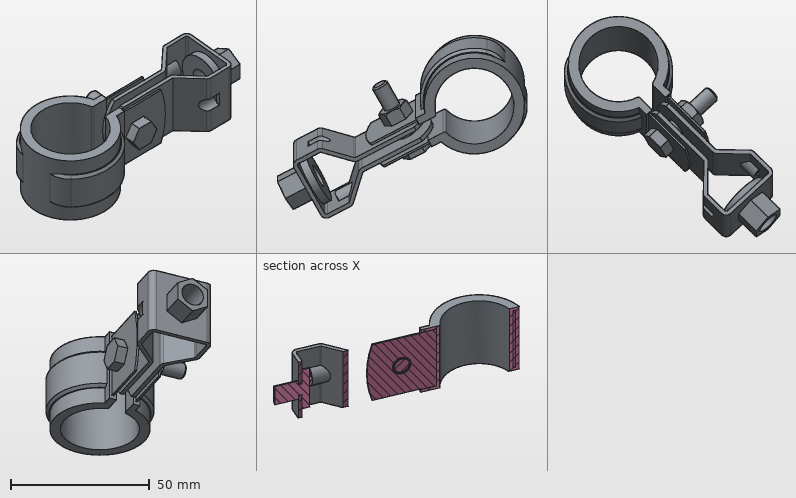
import cadquery as cq
import math


RING_HEIGHT = 28.0
RING_OUTER_R = 18.1
RING_BORE_R = 14.25
LIP_INNER_X = 3.3
LIP_OUTER_X = 6.1
LIP_TOP_Y = 20.85
LIP_FILLET_R = 1.0

BAND_R = 19.5
BAND_HEIGHT = 15.2
BAND_CHAMFER = 1.05
BAND_ARC_END_X = 14.4
BAND_TAIL_X = 6.7
BAND_TAIL_DEPTH = 0.2

STRAP_THICKNESS = 0.8
STRAP_WIDTH = 25.1
STRAP_EAR_Y = 41.8
STRAP_EAR_SAG = 2.1

SHEET = 1.5
BEND_INNER_R = 0.8
BEND_OUTER_R = BEND_INNER_R + SHEET
BRACKET_WIDTH = STRAP_WIDTH
BACK_Y = 68.5
HEAD_HALF_WIDTH = 12.3
LEG_OUTER_X = 3.1
SHOULDER_Y = 56.6
SLOPE_ANGLE = math.radians(45)
LEG_TIP_Y = 18.6
LEG_TIP_SAG = 4.5
DENT_OUTER_D = 8.5
DENT_START_Y = 61.6

FLANGE_D = 20.0
FLANGE_THICKNESS = 3.0
BOSS_FLATS = 12.0
BOSS_LENGTH = 9.1
NECK_D = 10.5
BOSS_BORE_D = 8.5

BOLT_Y = 28.2
BOLT_D = 6.0
BOLT_TIP_D = 4.9
BOLT_LENGTH = 25.0
HEX_FLATS = 10.0
HEAD_HEIGHT = 4.0
NUT_HEIGHT = 5.1
NUT_CHAMFER_D = 9.9
NUT_CHAMFER_ANGLE = 30
CLEARANCE_D = 7.0

RING_MID_R = (RING_OUTER_R + RING_BORE_R) / 2
WAIST_Y = SHOULDER_Y - (HEAD_HALF_WIDTH - LEG_OUTER_X) / math.tan(SLOPE_ANGLE)
EAR_MID_X = (LIP_INNER_X + LIP_OUTER_X) / 2
EAR_INNER_X = EAR_MID_X - STRAP_THICKNESS / 2
EAR_OUTER_X = EAR_MID_X + STRAP_THICKNESS / 2


def level_plane(height):
    """The XY plane at the underside of a shape that is centred on Z = 0."""
    return cq.Workplane("XY", origin=(0, 0, -height / 2))


def box(x0, x1, y0, y1, height):
    """A block between two X and two Y positions, centred on Z = 0."""
    return (
        level_plane(height)
        .center((x0 + x1) / 2, (y0 + y1) / 2)
        .rect(x1 - x0, y1 - y0)
        .extrude(height)
    )


def x_cylinder(diameter, x0, x1):
    """A cylinder along X on the bolt axis."""
    return cq.Workplane("YZ", origin=(x0, BOLT_Y, 0)).circle(diameter / 2).extrude(x1 - x0)


def x_hexagon(x0, x1):
    """A hexagon along X on the bolt axis, with corners at +Y and -Y."""
    corners_d = HEX_FLATS / math.cos(math.pi / 6)
    return cq.Workplane("YZ", origin=(x0, BOLT_Y, 0)).polygon(6, corners_d).extrude(x1 - x0)


def round_ended_blank(square_y, tip_y, sag, width, half_length):
    """A block along X, square at one Y end and with a bowed edge at the other."""
    corner_y = tip_y + math.copysign(sag, square_y - tip_y)
    return (
        cq.Workplane("YZ")
        .moveTo(square_y, -width / 2)
        .lineTo(corner_y, -width / 2)
        .threePointArc((tip_y, 0), (corner_y, width / 2))
        .lineTo(square_y, width / 2)
        .close()
        .extrude(half_length, both=True)
    )


def make_strap():
    """A loop at the middle of the ring wall, with an ear rising from each end."""
    loop_outer_r = RING_MID_R + STRAP_THICKNESS / 2
    loop_inner_r = RING_MID_R - STRAP_THICKNESS / 2
    strap = (
        level_plane(STRAP_WIDTH)
        .circle(loop_outer_r)
        .circle(loop_inner_r)
        .extrude(STRAP_WIDTH)
        .cut(box(-EAR_INNER_X, EAR_INNER_X, 0, BAND_R, STRAP_WIDTH))
    )
    ear_root_y = math.sqrt(loop_inner_r**2 - EAR_OUTER_X**2)
    for x0, x1 in ((-EAR_OUTER_X, -EAR_INNER_X), (EAR_INNER_X, EAR_OUTER_X)):
        strap = strap.union(box(x0, x1, ear_root_y, STRAP_EAR_Y, STRAP_WIDTH))
    outline = round_ended_blank(-BAND_R, STRAP_EAR_Y, STRAP_EAR_SAG, STRAP_WIDTH, BAND_R)
    holes = x_cylinder(CLEARANCE_D, -LIP_OUTER_X, LIP_OUTER_X)
    return strap.intersect(outline).cut(holes)


def make_half_band():
    """The +X half of the raised band, closed by a tangent arc down to the ring."""
    arc_end_y = -math.sqrt(BAND_R**2 - BAND_ARC_END_X**2)
    tail_y = -math.sqrt((RING_OUTER_R - BAND_TAIL_DEPTH) ** 2 - BAND_TAIL_X**2)
    diagonal = BAND_R * math.sqrt(0.5)
    return (
        level_plane(BAND_HEIGHT)
        .moveTo(0, BAND_R)
        .threePointArc((diagonal, diagonal), (BAND_ARC_END_X, arc_end_y))
        .tangentArcPoint((BAND_TAIL_X, tail_y), relative=False)
        .lineTo(0, 0)
        .close()
        .extrude(BAND_HEIGHT)
        .faces("|Z")
        .chamfer(BAND_CHAMFER)
    )


def make_ring(strap):
    """The split rubber ring, moulded around the strap."""
    ring = level_plane(RING_HEIGHT).circle(RING_OUTER_R).extrude(RING_HEIGHT)
    half_band = make_half_band()
    ring = ring.union(half_band).union(half_band.mirror("YZ"))
    ring = ring.union(box(-LIP_OUTER_X, LIP_OUTER_X, 0, LIP_TOP_Y, RING_HEIGHT))
    ring = ring.cut(level_plane(RING_HEIGHT).circle(RING_BORE_R).extrude(RING_HEIGHT))
    ring = ring.cut(box(-LIP_INNER_X, LIP_INNER_X, 0, LIP_TOP_Y, RING_HEIGHT))
    bore_edge_y = math.sqrt(RING_BORE_R**2 - LIP_INNER_X**2)
    bore_edges = cq.selectors.BoxSelector(
        (-LIP_OUTER_X, bore_edge_y - LIP_FILLET_R, -RING_HEIGHT),
        (LIP_OUTER_X, bore_edge_y + LIP_FILLET_R, RING_HEIGHT),
    )
    ring = ring.edges(bore_edges).fillet(LIP_FILLET_R)
    return ring.cut(strap)


def bracket_outline(inset, shoulder_r, waist_r):
    """The bracket shape without its hollow, moved inward by `inset`, with rounded bends."""
    head_x = HEAD_HALF_WIDTH - inset
    leg_x = LEG_OUTER_X - inset
    corner_shift = inset * math.tan(SLOPE_ANGLE / 2)
    shoulder_y = SHOULDER_Y + corner_shift
    waist_y = WAIST_Y + corner_shift
    back_y = BACK_Y - inset
    half = [(leg_x, LEG_TIP_Y), (leg_x, waist_y), (head_x, shoulder_y), (head_x, back_y)]
    mirrored = [(-x, y) for x, y in reversed(half)]
    block = level_plane(BRACKET_WIDTH).polyline(half + mirrored).close().extrude(BRACKET_WIDTH)
    waist = cq.selectors.BoxSelector(
        (-LEG_OUTER_X, waist_y - SHEET, -BRACKET_WIDTH), (LEG_OUTER_X, waist_y + SHEET, BRACKET_WIDTH)
    )
    head = cq.selectors.BoxSelector(
        (-BACK_Y, shoulder_y - SHEET, -BRACKET_WIDTH), (BACK_Y, BACK_Y + SHEET, BRACKET_WIDTH)
    )
    block = block.edges("|Z").edges(waist).fillet(waist_r)
    return block.edges("|Z").edges(head).fillet(shoulder_r)


def y_dent(radius, end_y):
    """Two cylinders along Y, one on each outer wall face, from the dent's open end."""
    return (
        cq.Workplane("XZ", origin=(0, DENT_START_Y, 0))
        .pushPoints([(-HEAD_HALF_WIDTH, 0), (HEAD_HALF_WIDTH, 0)])
        .circle(radius)
        .extrude(DENT_START_Y - end_y)
    )


def make_bracket():
    """A folded sheet with two legs, and a half-round dent pressed into each side wall."""
    outer = bracket_outline(0, BEND_OUTER_R, BEND_INNER_R)
    inner = bracket_outline(SHEET, BEND_INNER_R, BEND_OUTER_R)
    dents = y_dent(DENT_OUTER_D / 2, WAIST_Y).intersect(outer)
    bracket = outer.cut(inner).union(dents)
    bracket = bracket.cut(y_dent(DENT_OUTER_D / 2 - SHEET, WAIST_Y))
    bracket = bracket.intersect(
        round_ended_blank(BACK_Y, LEG_TIP_Y, LEG_TIP_SAG, BRACKET_WIDTH, HEAD_HALF_WIDTH)
    )
    neck_hole = cq.Workplane("XZ", origin=(0, BACK_Y, 0)).circle(NECK_D / 2).extrude(SHEET)
    return bracket.cut(neck_hole).cut(x_cylinder(CLEARANCE_D, -LEG_OUTER_X, LEG_OUTER_X))


def make_boss():
    """A hexagonal boss behind the bracket and a round flange inside it, bored through."""
    boss_end_y = BACK_Y + BOSS_LENGTH
    flange_back_y = BACK_Y - SHEET
    corners_d = BOSS_FLATS / math.cos(math.pi / 6)
    hexagon = (
        cq.Workplane("XZ", origin=(0, boss_end_y, 0))
        .transformed(rotate=(0, 0, 90))
        .polygon(6, corners_d)
        .extrude(BOSS_LENGTH)
    )
    neck = cq.Workplane("XZ", origin=(0, BACK_Y, 0)).circle(NECK_D / 2).extrude(SHEET)
    flange = (
        cq.Workplane("XZ", origin=(0, flange_back_y, 0)).circle(FLANGE_D / 2).extrude(FLANGE_THICKNESS)
    )
    bore_depth = BOSS_LENGTH + SHEET + FLANGE_THICKNESS
    bore = cq.Workplane("XZ", origin=(0, boss_end_y, 0)).circle(BOSS_BORE_D / 2).extrude(bore_depth)
    return hexagon.union(neck).union(flange).cut(bore)


def make_bolt():
    """A hexagon-head bolt, its head against the +X ear and its tip chamfered."""
    shank = x_cylinder(BOLT_D, EAR_OUTER_X - BOLT_LENGTH, EAR_OUTER_X)
    shank = shank.faces("<X").chamfer((BOLT_D - BOLT_TIP_D) / 2)
    return shank.union(x_hexagon(EAR_OUTER_X, EAR_OUTER_X + HEAD_HEIGHT))


def make_nut():
    """A hexagon nut against the -X ear, with a conical chamfer on its outer side."""
    outer_x = -EAR_OUTER_X - NUT_HEIGHT
    cone_run = NUT_HEIGHT / math.tan(math.radians(NUT_CHAMFER_ANGLE))
    cone = (
        cq.Workplane("XY", origin=(0, BOLT_Y, 0))
        .moveTo(outer_x, 0)
        .lineTo(outer_x, NUT_CHAMFER_D / 2)
        .lineTo(-EAR_OUTER_X, NUT_CHAMFER_D / 2 + cone_run)
        .lineTo(-EAR_OUTER_X, 0)
        .close()
        .revolve(360, (0, 0, 0), (1, 0, 0))
    )
    nut = x_hexagon(outer_x, -EAR_OUTER_X).intersect(cone)
    return nut.cut(x_cylinder(BOLT_D, outer_x, -EAR_OUTER_X))


strap = make_strap()
ring = make_ring(strap)
bracket = make_bracket()
boss = make_boss()
bolt = make_bolt()
nut = make_nut()

result = cq.Compound.makeCompound(
    [ring.val(), strap.val(), bracket.val(), boss.val(), bolt.val(), nut.val()]
)